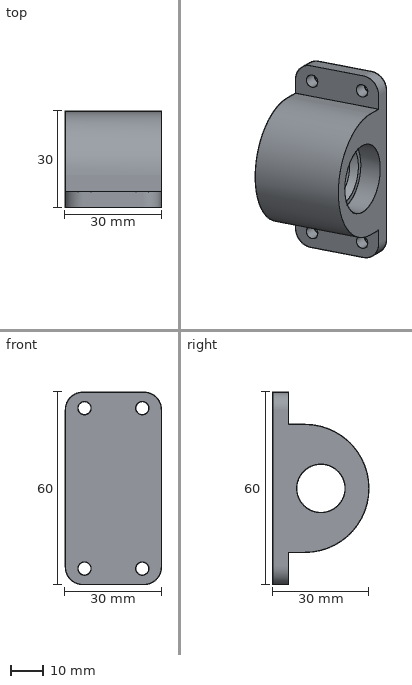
import cadquery as cq

width = 30.0
plate_height = 60.0
plate_thickness = 5.0
corner_radius = 5.5
screw_hole_diameter = 4.0
screw_spacing_x = 18.0
screw_spacing_z = 50.0

depth = 30.0
housing_radius = 20.0
housing_axis_y = depth - housing_radius

bore_axis_y = depth / 2
bore_diameter = 15.0
seat_diameter = 22.0
seat_depth = 7.0
cone_diameter = 19.0
cone_depth = (cone_diameter - bore_diameter) / 2


def make_plate():
    plate = cq.Workplane("XY").box(width, plate_thickness, plate_height, centered=(True, False, True))
    return plate.edges("|Y").fillet(corner_radius)


def make_housing():
    return (
        cq.Workplane("YZ", origin=(-width / 2, 0, 0))
        .moveTo(0, -housing_radius)
        .lineTo(housing_axis_y, -housing_radius)
        .threePointArc((depth, 0), (housing_axis_y, housing_radius))
        .lineTo(0, housing_radius)
        .close()
        .extrude(width)
    )


def make_bore():
    """Revolve the seat, the conical lead-in and the through bore about the bore axis."""
    seat_floor_x = -width / 2 + seat_depth
    return (
        cq.Workplane("XY", origin=(0, bore_axis_y, 0))
        .moveTo(-width / 2, 0)
        .lineTo(-width / 2, seat_diameter / 2)
        .lineTo(seat_floor_x, seat_diameter / 2)
        .lineTo(seat_floor_x, cone_diameter / 2)
        .lineTo(seat_floor_x + cone_depth, bore_diameter / 2)
        .lineTo(width / 2, bore_diameter / 2)
        .lineTo(width / 2, 0)
        .close()
        .revolve(360, (0, 0, 0), (1, 0, 0))
    )


def make_screw_holes():
    return (
        cq.Workplane("XZ")
        .rarray(screw_spacing_x, screw_spacing_z, 2, 2)
        .circle(screw_hole_diameter / 2)
        .extrude(-plate_thickness)
    )


result = make_plate().union(make_housing()).cut(make_bore()).cut(make_screw_holes())